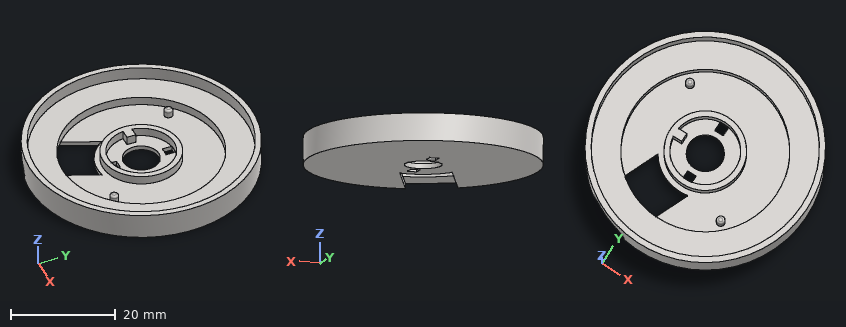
import cadquery as cq
import math

outer_radius = 22.95
height = 5.4
rim_inner_radius = 21.75
ledge_height = 2.75
recess_radius = 16.1
floor_thickness = 0.95

hub_outer_radius = 7.9
hub_inner_radius = 6.75
bore_radius = 3.605
key_width = 1.85
key_inner_reach = 4.77

pin_radius = 0.85
pin_height = 1.65
pin_rounding = 0.45
pin_offset = 9.85

slot_width = 10.0
slot_inner_radius = 9.05
slot_angle = 247.5
mouth_height = 2.6


def disc(radius, bottom, top):
    return cq.Workplane("XY").workplane(offset=bottom).circle(radius).extrude(top - bottom)


def radial_block(start, end, width, bottom, top, angle):
    """Rectangular block reaching outwards along the given angle."""
    block = cq.Workplane("XY").box(end - start, width, top - bottom, centered=(False, True, False))
    return block.translate((start, 0, bottom)).rotate((0, 0, 0), (0, 0, 1), angle)


def make_dish():
    dish = disc(outer_radius, 0, height)
    dish = dish.cut(disc(rim_inner_radius, ledge_height, height))
    return dish.cut(disc(recess_radius, floor_thickness, height))


def make_hub():
    """Ring with one inward key, level with the ring top."""
    ring = disc(hub_outer_radius, 0, ledge_height).cut(disc(hub_inner_radius, floor_thickness, ledge_height))
    ring_middle = (hub_inner_radius + hub_outer_radius) / 2
    return ring.union(radial_block(key_inner_reach, ring_middle, key_width, 0, ledge_height, 180))


def make_pin(x, y):
    pin = disc(pin_radius, 0, floor_thickness + pin_height)
    return pin.faces(">Z").edges().fillet(pin_rounding).translate((x, y, 0))


def make_mouth_backing():
    """Ruled wall, straight at the slot roof and blending up into the round rim."""
    half_width = slot_width / 2
    corner_reach = math.sqrt(outer_radius**2 - half_width**2)
    back = recess_radius
    lower = (
        cq.Workplane("XY")
        .workplane(offset=floor_thickness)
        .moveTo(back, -half_width)
        .lineTo(corner_reach, -half_width)
        .lineTo(corner_reach, half_width)
        .lineTo(back, half_width)
        .close()
    )
    backing = (
        lower.workplane(offset=mouth_height - floor_thickness)
        .moveTo(back, -half_width)
        .lineTo(corner_reach, -half_width)
        .threePointArc((outer_radius, 0), (corner_reach, half_width))
        .lineTo(back, half_width)
        .close()
        .loft(ruled=True)
    )
    return backing.rotate((0, 0, 0), (0, 0, 1), slot_angle)


def make_slot():
    """Low slot under the ledge, with a mouth that flares upwards in the rim."""
    passage = radial_block(0, outer_radius, slot_width, 0, floor_thickness, slot_angle)
    passage = passage.cut(disc(slot_inner_radius, 0, floor_thickness))
    mouth = radial_block(recess_radius, outer_radius, slot_width, floor_thickness, mouth_height, slot_angle)
    return passage.union(mouth.cut(make_mouth_backing()))


result = make_dish().union(make_hub())
for side in (-1, 1):
    result = result.union(make_pin(side * pin_offset, -side * pin_offset))
result = result.cut(make_slot())
result = result.cut(disc(bore_radius, 0, height))
for window_angle in (90, 270):
    window = radial_block(key_inner_reach, hub_inner_radius, key_width, 0, floor_thickness, window_angle)
    result = result.cut(window)